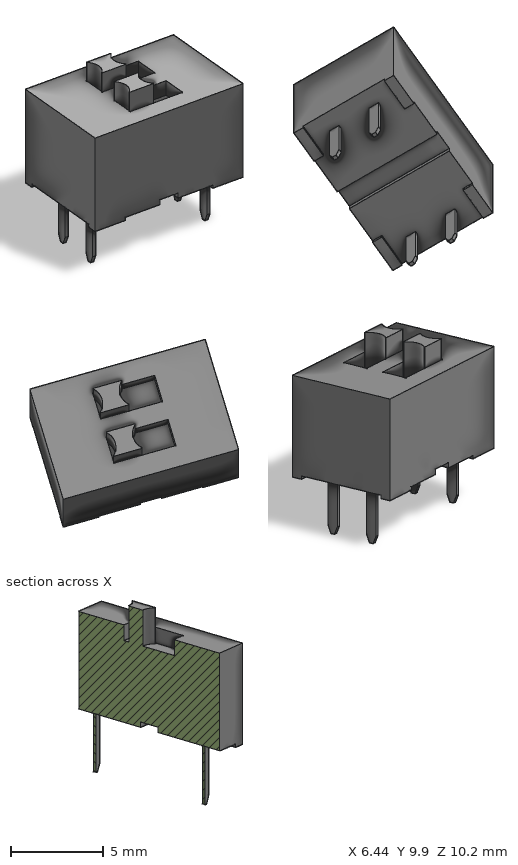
import cadquery as cq

HOUSING_X = 6.44
HOUSING_Y = 9.9
HOUSING_TOP = 5.88
FOOT_X = 0.6
FOOT_Y = 2.03
FOOT_HEIGHT = 0.19
GROOVE_WIDTH = 1.21
GROOVE_TOP = 0.5

SLOT_PITCH = 2.57
SLOT_X = 1.53
SLOT_Y_MIN = -1.74
SLOT_Y_MAX = 1.75
SLOT_DEPTH = 0.91
SLOT_FLOOR = HOUSING_TOP - SLOT_DEPTH
SLIDER_PITCH = 2.54
SLIDER_X = 1.42
SLIDER_Y = 1.61
SLIDER_HEIGHT = 1.18
SLIDER_EDGE_FLAT = 0.04
SLIDER_HOLLOW = 0.3

PIN_PITCH_X = 2.54
PIN_PITCH_Y = 7.64
PIN_X = 0.63
PIN_Y = 0.22
PIN_BOTTOM = -3.19
TIP_LENGTH = 0.47
TIP_X = 0.24

SIDES = (-1, 1)


def block(x, y, z_min, z_max):
    """Upright box centred on X = Y = 0 between two heights."""
    return cq.Workplane("XY").workplane(offset=z_min).rect(x, y).extrude(z_max - z_min)


def make_slot(x):
    """Cutter for the slot at one switch position."""
    length = SLOT_Y_MAX - SLOT_Y_MIN
    centre_y = (SLOT_Y_MAX + SLOT_Y_MIN) / 2
    return block(SLOT_X, length, SLOT_FLOOR, HOUSING_TOP).translate((x, centre_y, 0))


def make_slider(x):
    """Slider with hollowed ends, rising from the slot floor at the -Y end of the slot."""
    half_x = SLIDER_X / 2
    arc_x = half_x - SLIDER_EDGE_FLAT
    y_min = SLOT_Y_MIN
    y_max = SLOT_Y_MIN + SLIDER_Y
    return (
        cq.Workplane("XY")
        .moveTo(-half_x, y_min)
        .lineTo(-arc_x, y_min)
        .threePointArc((0, y_min + SLIDER_HOLLOW), (arc_x, y_min))
        .lineTo(half_x, y_min)
        .lineTo(half_x, y_max)
        .lineTo(arc_x, y_max)
        .threePointArc((0, y_max - SLIDER_HOLLOW), (-arc_x, y_max))
        .lineTo(-half_x, y_max)
        .close()
        .extrude(SLOT_DEPTH + SLIDER_HEIGHT)
        .translate((x, 0, SLOT_FLOOR))
    )


def make_housing():
    """Block with a cross-shaped relief between its feet, a groove underneath, slots and sliders."""
    body = block(HOUSING_X, HOUSING_Y, 0, HOUSING_TOP)

    body = body.cut(block(HOUSING_X - 2 * FOOT_X, HOUSING_Y, 0, FOOT_HEIGHT))
    body = body.cut(block(HOUSING_X, HOUSING_Y - 2 * FOOT_Y, 0, FOOT_HEIGHT))

    body = body.cut(block(HOUSING_X, GROOVE_WIDTH, 0, GROOVE_TOP))

    for side in SIDES:
        body = body.cut(make_slot(side * SLOT_PITCH / 2))
        body = body.union(make_slider(side * SLIDER_PITCH / 2))
    return body


def make_pin(x, y):
    """Flat pin hanging from the relieved underside of the housing."""
    shoulder = PIN_BOTTOM + TIP_LENGTH
    return (
        cq.Workplane("XZ")
        .polyline([
            (-PIN_X / 2, FOOT_HEIGHT),
            (-PIN_X / 2, shoulder),
            (-TIP_X / 2, PIN_BOTTOM),
            (TIP_X / 2, PIN_BOTTOM),
            (PIN_X / 2, shoulder),
            (PIN_X / 2, FOOT_HEIGHT),
        ])
        .close()
        .extrude(PIN_Y / 2, both=True)
        .translate((x, y, 0))
    )


housing = make_housing()
pins = [
    make_pin(side_x * PIN_PITCH_X / 2, side_y * PIN_PITCH_Y / 2)
    for side_x in SIDES
    for side_y in SIDES
]

result = cq.Compound.makeCompound([housing.val(), *[pin.val() for pin in pins]])